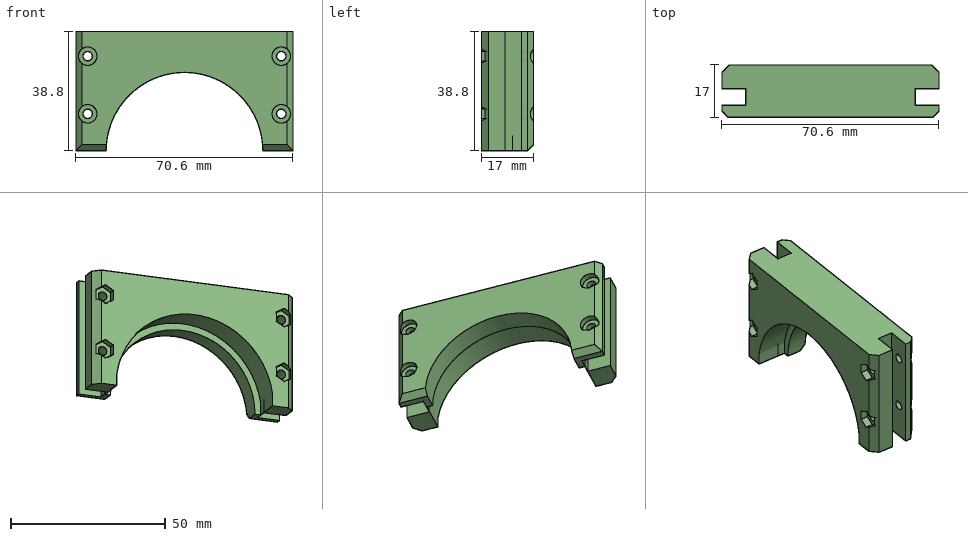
import cadquery as cq

length = 70.6
thickness = 17.0
height = 38.8
half_length = length / 2

front_bevel = 2.0
back_bevel = 2.4

slot_depth = 7.8
slot_front = 3.95
slot_width = 5.3

lip_radius = 25.4
lip_thickness = 6.85
recess_radius = 27.7
slot_wall = 0.15

screw_x = half_length - slot_depth / 2
screw_heights = (12.0, 30.7)
screw_diameter = 3.0
head_diameter = 6.0
head_depth = 2.0
nut_across_corners = 6.35
nut_depth = 2.5


def cylinder_y(diameter, x, z, start, depth):
    """Cylinder along +Y from the given start plane."""
    return cq.Workplane("XZ", origin=(x, start, z)).circle(diameter / 2).extrude(-depth)


def nut_pocket(x, z):
    """Hexagonal pocket in the back face, with two of its flats vertical."""
    return (
        cq.Workplane("XZ", origin=(x, thickness - nut_depth, z))
        .transformed(rotate=(0, 0, 90))
        .polygon(6, nut_across_corners)
        .extrude(-nut_depth)
    )


def bevelled_block():
    """Block with bevelled vertical edges and a bevelled lower front edge."""
    block = cq.Workplane("XY").box(length, thickness, height, centered=(True, False, False))
    block = block.faces("<Y").edges("|Z or <Z").chamfer(front_bevel)
    return block.faces(">Y").edges("|Z").chamfer(back_bevel)


def end_slot(side):
    """Full-height slot in one end; side is -1 or 1."""
    centre_x = side * screw_x
    return (
        cq.Workplane("XY", origin=(centre_x, slot_front, 0))
        .box(slot_depth, slot_width, height, centered=(True, False, False))
    )


def flattened_recess():
    """Half-round recess behind the lip, with flat vertical sides at its foot."""
    depth = thickness - lip_thickness
    flat_x = half_length - slot_depth - slot_wall
    bore = cylinder_y(2 * recess_radius, 0, 0, lip_thickness, depth)
    flat_limits = (
        cq.Workplane("XY", origin=(0, lip_thickness, 0))
        .box(2 * flat_x, depth, height, centered=(True, False, False))
    )
    return bore.intersect(flat_limits)


result = bevelled_block()
result = result.cut(cylinder_y(2 * lip_radius, 0, 0, 0, thickness))
result = result.cut(flattened_recess())

for side in (-1, 1):
    result = result.cut(end_slot(side))
    for z in screw_heights:
        x = side * screw_x
        result = result.cut(cylinder_y(screw_diameter, x, z, 0, thickness))
        result = result.cut(cylinder_y(head_diameter, x, z, 0, head_depth))
        result = result.cut(nut_pocket(x, z))